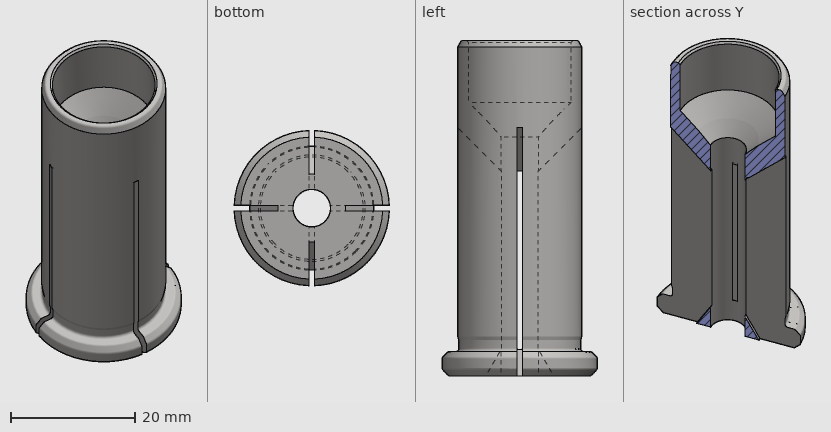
import cadquery as cq
import math

height = 54.0
body_radius = 20.0 / 2

flange_radius = 25.0 / 2
flange_height = 3.95
flange_lower_chamfer = 1.1
flange_upper_chamfer = 0.95
flange_edge_round = 0.5

groove_radius = 9.85
groove_chamfer_start = 5.7
groove_top = 6.3
groove_root_round = 0.5

lead_in_height = 1.1
lead_in_top_radius = 9.4
lead_in_round = 0.5

pocket_radius = 16.5 / 2
pocket_floor = 44.0
pocket_chamfer = 0.3
throat_radius = 10.0 / 2
throat_drop = pocket_radius - throat_radius
lower_cone_height = 2.3
hole_radius = 6.0 / 2
throat_floor = pocket_floor - throat_drop
hole_top = throat_floor - lower_cone_height

slot_width = 0.85
slot_count = 4
slot_top = 39.95
slot_bottom_inner = 4.25
slot_bottom_slope = math.tan(math.radians(60))


def circle_edge(solid, radius, z):
    """Select the circular edge of the given radius at height z."""
    tol = 0.005
    return solid.edges("%CIRCLE").edges(
        cq.selectors.BoxSelector(
            (-radius - tol, -radius - tol, z - tol),
            (radius + tol, radius + tol, z + tol),
            boundingbox=True,
        )
    ).edges(cq.selectors.RadiusNthSelector(-1))


def make_body():
    """Turned outside shape, still without the bore."""
    flange_top_radius = flange_radius - flange_upper_chamfer
    upper_chamfer_z = flange_height - flange_upper_chamfer
    body = (
        cq.Workplane("XZ")
        .moveTo(0, 0)
        .lineTo(flange_radius - flange_lower_chamfer, 0)
        .lineTo(flange_radius, flange_lower_chamfer)
        .lineTo(flange_radius, upper_chamfer_z)
        .lineTo(flange_top_radius, flange_height)
        .lineTo(groove_radius, flange_height)
        .lineTo(groove_radius, groove_chamfer_start)
        .lineTo(body_radius, groove_top)
        .lineTo(body_radius, height - lead_in_height)
        .lineTo(lead_in_top_radius, height)
        .lineTo(0, height)
        .close()
        .revolve(360, (0, 0, 0), (0, 1, 0))
    )
    rounded_edges = [
        (flange_radius, flange_lower_chamfer, flange_edge_round),
        (flange_radius, upper_chamfer_z, flange_edge_round),
        (flange_top_radius, flange_height, flange_edge_round),
        (groove_radius, flange_height, groove_root_round),
        (lead_in_top_radius, height, lead_in_round),
    ]
    for radius, z, round_radius in rounded_edges:
        body = circle_edge(body, radius, z).fillet(round_radius)
    return body


def make_bore():
    """Cutter for the pocket, funnel and through hole."""
    return (
        cq.Workplane("XZ")
        .moveTo(0, 0)
        .lineTo(hole_radius, 0)
        .lineTo(hole_radius, hole_top)
        .lineTo(throat_radius, throat_floor)
        .lineTo(pocket_radius, pocket_floor)
        .lineTo(pocket_radius, height - pocket_chamfer)
        .lineTo(pocket_radius + pocket_chamfer, height)
        .lineTo(0, height)
        .close()
        .revolve(360, (0, 0, 0), (0, 1, 0))
    )


def make_slot():
    """Cutter for the slot on the +X side."""
    slot_end_radius = hole_radius + slot_bottom_inner / slot_bottom_slope
    overshoot = 0.55
    outer_radius = flange_radius + overshoot
    return (
        cq.Workplane("XZ")
        .moveTo(0, slot_end_radius * slot_bottom_slope)
        .lineTo(slot_end_radius, 0)
        .lineTo(outer_radius, 0)
        .lineTo(outer_radius, slot_top + outer_radius - body_radius)
        .lineTo(0, slot_top - body_radius)
        .close()
        .extrude(slot_width / 2, both=True)
    )


result = make_body().cut(make_bore())
for index in range(slot_count):
    angle = index * 360 / slot_count
    result = result.cut(make_slot().rotate((0, 0, 0), (0, 0, 1), angle))